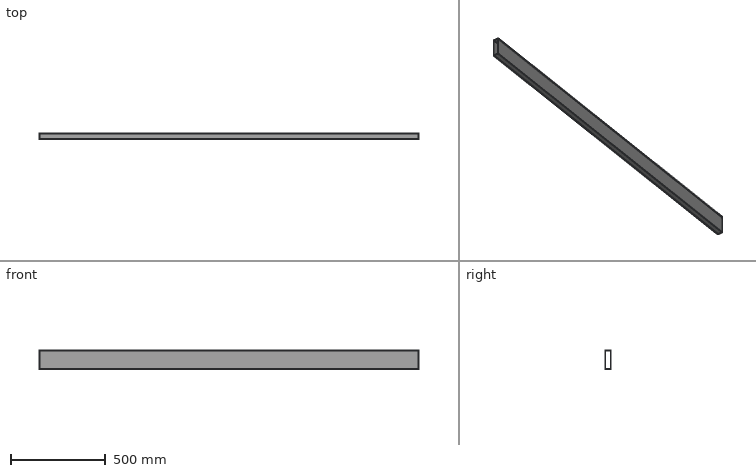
import cadquery as cq

length = 2000.0
width = 30.0
height = 100.0
wall = 1.8

outer = cq.Workplane("XY").box(length, width, height)
bore = cq.Workplane("XY").box(length, width - 2 * wall, height - 2 * wall)
result = outer.cut(bore)